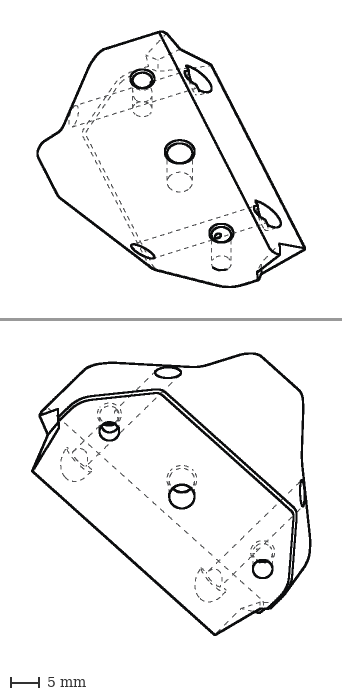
import cadquery as cq
import math

deck_height = 8.45
total_height = 13.81
back_foot_y = 15.0
front_foot_y = -11.67
block_size = 120.0
margin = 1.0

lip_thickness = 5.65
lip_half_width = 6.8
lip_rise = total_height - deck_height
lip_root_y = front_foot_y + lip_thickness - deck_height
lip_crest_y = lip_root_y - lip_rise

side_foot = (-25.6, -0.6, 0.0)
side_head = (-26.77, -4.45, deck_height)
cheek_head = (-24.7, -6.9, deck_height)
cheek_foot = (-16.4, front_foot_y, 0.0)
front_corner = (-9.2, front_foot_y - deck_height, deck_height)

lip_fillet = 2.8
side_corner_fillet = 6.0
cheek_corner_fillet = 5.0
front_corner_fillet = 1.7
rim_fillet = 0.5
side_top_fillet = 1.0
foot_chamfer = 0.4
root_pick_offset = 2.5
crest_pick_offset = 1.9

notch_ridge_y = 9.26
notch_ridge_z = 5.5
notch_corner_y = 5.6
notch_corner_z = 3.2
notch_wall_x = -21.94
notch_wall_angle = 14.0
notch_sweep = cq.Vector(-7.52, -6.52, 0)
notch_overrun = 5.0

screw_holes = [(-17.5, 3.4), (0.0, 4.4), (19.5, 3.4)]
screw_chamfer = 0.4

bolt_x = 16.2
bolt_z = 5.75
bolt_diameter = 3.4
head_diameter = 6.0
head_seat_y = 8.9


def midpoint(p, q):
    return tuple((a + b) / 2 for a, b in zip(p, q))


def edges_at(body, *points):
    """The edges of body that lie closest to each of the given points."""
    picked = []
    for point in points:
        spot = cq.Vertex.makeVertex(*point)
        picked.append(min(body.edges().vals(), key=lambda edge: edge.distance(spot)))
    return body.newObject(picked)


def block_outside(p, q, r):
    """Block on the outer side of the plane through p, q, r (anticlockwise seen from outside)."""
    p, q, r = cq.Vector(*p), cq.Vector(*q), cq.Vector(*r)
    plane = cq.Plane(p, q - p, (q - p).cross(r - p))
    return cq.Workplane(plane).rect(2 * block_size, 2 * block_size).extrude(block_size)


def profile_block():
    """Left half of the side profile: slanted back, flat deck and slanted lip."""
    outline = [
        (front_foot_y, 0),
        (back_foot_y, 0),
        (back_foot_y - deck_height, deck_height),
        (lip_root_y, deck_height),
        (lip_crest_y, total_height),
        (front_foot_y - total_height, total_height),
    ]
    return cq.Workplane("YZ").polyline(outline).close().extrude(-block_size / 2)


def shoulder_cut():
    """Space beside the lip, above the deck and the 45 degree shoulder."""
    outline = [
        (-lip_half_width, total_height),
        (-lip_half_width - lip_rise, deck_height),
        (-block_size, deck_height),
        (-block_size, total_height),
    ]
    return cq.Workplane("XZ").polyline(outline).close().extrude(block_size)


def sharp_half():
    """Left half with flat flanks and no rounding."""
    side_back = (side_foot[0], back_foot_y, 0.0)
    body = profile_block().cut(shoulder_cut())
    body = body.cut(block_outside(side_back, side_foot, side_head))
    body = body.cut(block_outside(side_foot, cheek_foot, cheek_head))
    return body.cut(block_outside(cheek_head, cheek_foot, front_corner))


def round_lip(body):
    """Convex rounding over the crest of the lip, then concave rounding along its root."""
    root = (-lip_half_width - lip_rise, lip_root_y, deck_height)
    crest = (-lip_half_width, lip_crest_y, total_height)
    behind_crest = (crest[0] / 2, crest[1], total_height)
    beside_crest = (crest[0], crest[1] - crest_pick_offset, total_height)
    beside_root = (root[0], root[1] - root_pick_offset, deck_height)
    body = edges_at(body, midpoint(root, crest), behind_crest, beside_crest).fillet(lip_fillet)
    return edges_at(body, beside_root).fillet(lip_fillet)


def round_flanks(body):
    """Corners between the flank faces, then the rim around the deck and lip."""
    body = edges_at(body, midpoint(side_foot, side_head)).fillet(side_corner_fillet)
    body = edges_at(body, midpoint(cheek_foot, cheek_head)).fillet(cheek_corner_fillet)
    body = edges_at(body, midpoint(cheek_foot, front_corner)).fillet(front_corner_fillet)
    return edges_at(body, midpoint(cheek_head, front_corner)).fillet(rim_fillet)


def side_top_cut():
    """Straight tool that rounds the edge between the deck and the leaning side face."""
    lean = math.atan2(side_foot[0] - side_head[0], deck_height)
    half_turn = math.pi / 4 + lean / 2
    setback = side_top_fillet * math.tan(half_turn)
    center_x = side_head[0] + setback
    center_z = deck_height - side_top_fillet
    on_side = (side_head[0] + setback * math.sin(lean), deck_height - setback * math.cos(lean))
    crown = (
        center_x - side_top_fillet * math.sin(half_turn),
        center_z + side_top_fillet * math.cos(half_turn),
    )
    return (
        cq.Workplane("XZ", origin=(0, block_size / 2, 0))
        .moveTo(center_x, deck_height)
        .threePointArc(crown, on_side)
        .lineTo(side_head[0] - margin, on_side[1])
        .lineTo(side_head[0] - margin, deck_height + margin)
        .lineTo(center_x, deck_height + margin)
        .close()
        .extrude(block_size)
    )


def break_foot(body):
    """Chamfer along the front, back and side edges of the underside."""
    on_front = (-margin, front_foot_y, 0)
    on_back = (-margin, back_foot_y, 0)
    on_side = (side_foot[0], back_foot_y / 5, 0)
    return edges_at(body, on_front, on_back, on_side).chamfer(foot_chamfer)


def notch_cut():
    """Prism swept outwards from the notch's inner wall."""
    roof_slope = (notch_ridge_z - notch_corner_z) / (notch_ridge_y - notch_corner_y)
    far_y = back_foot_y + notch_overrun

    def on_wall(y, z):
        inset = (back_foot_y - y) * math.tan(math.radians(notch_wall_angle))
        return cq.Vector(notch_wall_x - inset, y, z)

    outline = [
        on_wall(notch_corner_y, -margin),
        on_wall(notch_corner_y, notch_corner_z),
        on_wall(far_y, notch_corner_z + roof_slope * (far_y - notch_corner_y)),
        on_wall(far_y, -margin),
    ]
    wall = cq.Wire.makePolygon(outline, close=True)
    return cq.Workplane(cq.Solid.extrudeLinear(wall, [], notch_sweep))


def screw_hole(x, diameter):
    """Through hole with a chamfered rim at the deck."""
    shank = cq.Workplane("XY").center(x, 0).circle(diameter / 2).extrude(total_height)
    rim = (
        cq.Workplane("XY", origin=(x, 0, deck_height - screw_chamfer))
        .circle(diameter / 2)
        .workplane(offset=screw_chamfer)
        .circle(diameter / 2 + screw_chamfer)
        .loft()
    )
    return shank.union(rim)


def bolt_hole(x):
    """Through hole along Y with a head recess opening at the back."""
    shank = cq.Workplane("XZ", origin=(x, block_size / 4, bolt_z))
    shank = shank.circle(bolt_diameter / 2).extrude(block_size / 2)
    head = cq.Workplane("XZ", origin=(x, head_seat_y, bolt_z))
    head = head.circle(head_diameter / 2).extrude(-back_foot_y)
    return shank.union(head)


half = round_flanks(round_lip(sharp_half()))
half = half.cut(side_top_cut())
half = break_foot(half)
half = half.cut(notch_cut())

result = half.union(half.mirror("YZ"))
for hole_x, hole_diameter in screw_holes:
    result = result.cut(screw_hole(hole_x, hole_diameter))
for hole_x in (-bolt_x, bolt_x):
    result = result.cut(bolt_hole(hole_x))